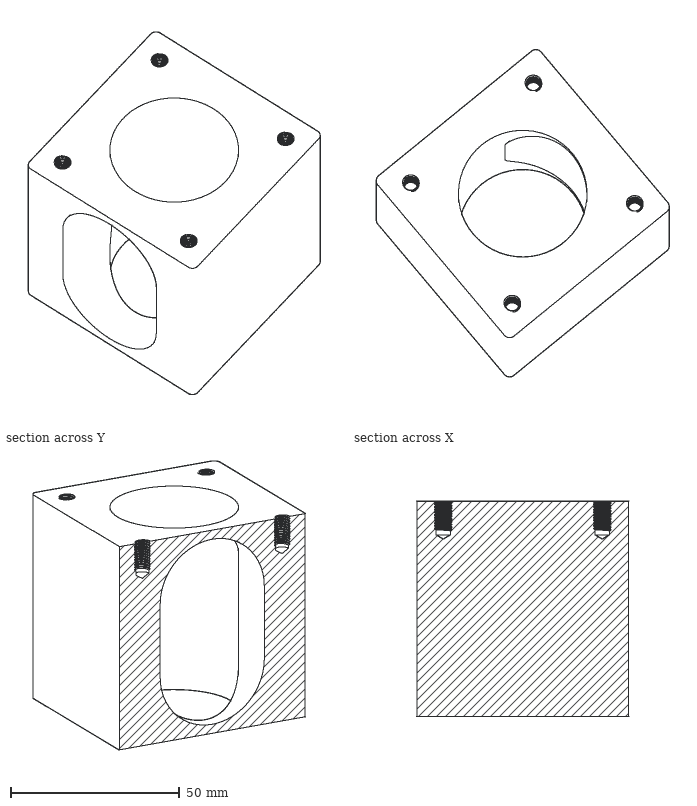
import cadquery as cq
import math

height = 64.0
width = 63.0
corner_radius = 2.0

bore_diameter = 38.2

window_width = 35.0
window_height = 58.0

hole_spacing = 47.2
core_diameter = 4.2
thread_diameter = 5.05
hole_depth = 10.0
tip_angle = 118.0
thread_length = 8.8
thread_turns = 11
thread_pitch = thread_length / thread_turns
run_out_turns = 1.5
thread_start_angle = 340.0
groove_mouth = thread_pitch * 7 / 8
groove_root = thread_pitch / 4
groove_overlap = 0.05


def make_block():
    return cq.Workplane("XY").box(width, width, height).edges("|Z").fillet(corner_radius)


def make_bore():
    return cq.Workplane("XY").circle(bore_diameter / 2).extrude(height).translate((0, 0, -height / 2))


def make_window():
    """Upright round-ended slot running from the -Y face to the bore axis."""
    return cq.Workplane("XZ").slot2D(window_height, window_width, 90).extrude(width / 2)


def make_drilled_hole():
    """Core hole with a conical tip, mouth at the origin."""
    core_radius = core_diameter / 2
    tip_depth = core_radius / math.tan(math.radians(tip_angle / 2))
    profile = (
        cq.Workplane("XZ")
        .lineTo(core_radius, 0)
        .lineTo(core_radius, -hole_depth)
        .lineTo(0, -hole_depth - tip_depth)
        .close()
    )
    return profile.revolve(360, (0, 0), (0, 1))


def make_thread_groove():
    """Right-hand helical groove that runs out through the mouth of the hole."""
    core_radius = core_diameter / 2
    inner_radius = core_radius - groove_overlap
    bottom = -thread_length
    sweep_height = (thread_turns + run_out_turns) * thread_pitch
    helix = cq.Wire.makeHelix(thread_pitch, sweep_height, core_radius, cq.Vector(0, 0, bottom))
    profile = (
        cq.Workplane("XZ")
        .moveTo(inner_radius, bottom - groove_mouth / 2)
        .lineTo(thread_diameter / 2, bottom - groove_root / 2)
        .lineTo(thread_diameter / 2, bottom + groove_root / 2)
        .lineTo(inner_radius, bottom + groove_mouth / 2)
        .close()
    )
    groove = profile.sweep(cq.Workplane(helix), isFrenet=True)
    return groove.rotate((0, 0, 0), (0, 0, 1), thread_start_angle)


result = make_block().cut(make_bore()).cut(make_window())
drilled_hole = make_drilled_hole()
thread_groove = make_thread_groove()
for x_side in (-1, 1):
    for y_side in (-1, 1):
        place = (x_side * hole_spacing / 2, y_side * hole_spacing / 2, height / 2)
        result = result.cut(thread_groove.translate(place))
        result = result.cut(drilled_hole.translate(place))